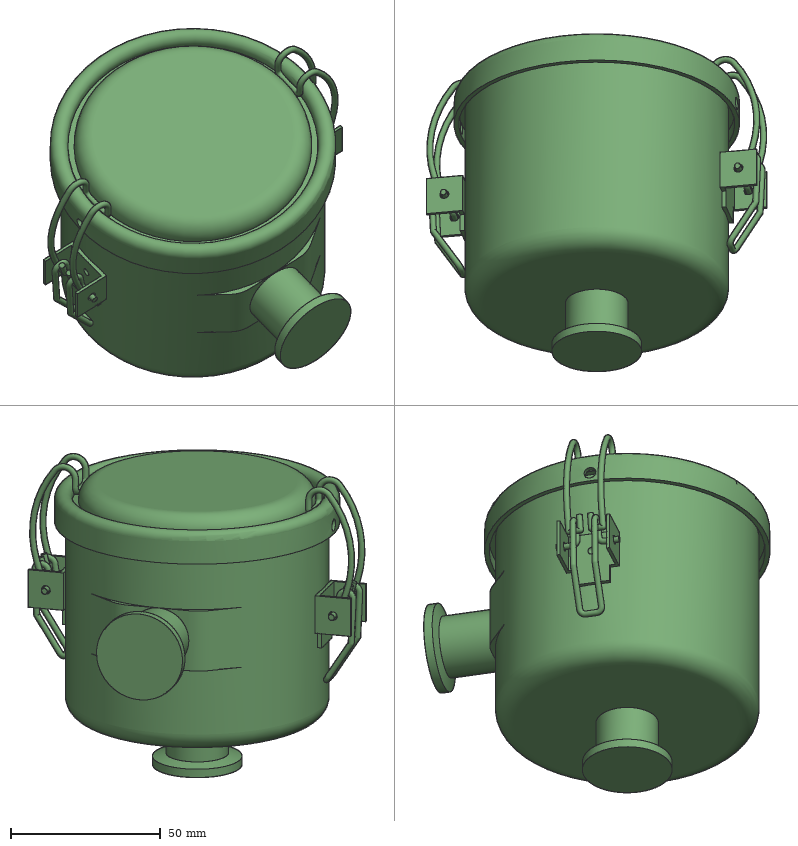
import cadquery as cq
import math

length = 113.9
latch_span = 113.2
height = 102.7

body_radius = 88.0 / 2
body_bottom = 18.0
body_corner_radius = 6.2

lid_radius = 95.2 / 2
skirt_inner_radius = 92.0 / 2
skirt_bottom = 84.9
skirt_gap_top = 89.4
rim_roll_radius = 3.0
rim_top = 95.8
rim_spring = rim_top - rim_roll_radius
groove_floor = 92.0
dome_top = 98.8
dome_edge_radius = 6.0
dome_flat_radius = 33.6
dome_radius = dome_flat_radius + dome_edge_radius
dome_spring = dome_top - dome_edge_radius
skirt_hole_diameter = 4.0
skirt_hole_height = 87.9

pipe_radius = 21.0 / 2
flange_radius = 30.0 / 2
flange_rim_thickness = 3.0
flange_taper_thickness = 1.1
side_port_end = length - lid_radius
side_port_height = 57.4

pad_face = 44.2
pad_tangent_x = 35.5
pad_edge_radius = 11.0

bracket_half_width = 9.1
bracket_sheet = 1.0
bracket_bottom = 52.5
bracket_top = 65.6
bracket_reach = 56.2
bracket_face = 45.2
bracket_embed = 0.2
bracket_back = body_radius - bracket_embed
tab_half_width = 6.0
tab_bottom = 46.6
pivot_hole_diameter = 3.0
pivot_reach = 50.0
pivot_height = 59.1
dimple_radius = 2.6 / 2

wire_radius = 2.0 / 2
hook_half_width = 5.9
hook_bar_reach = 40.7
hook_bar_sink = 0.2
hook_bar_height = groove_floor + wire_radius - hook_bar_sink
hook_corner_radius = 2.0
hook_crown_radius = 4.0
hook_crown_height = height - wire_radius - hook_crown_radius
hook_bow_reach = latch_span / 2 - wire_radius
hook_bow_height = 78.0
hook_bow_end_height = 67.9
hook_foot_height = 63.1
hook_tip_half_width = 1.9
hook_tip_reach = 54.0
hook_tip_height = 68.1

handle_half_width = 3.8
handle_arch_radius = 2.4
handle_arch_reach = 53.1
handle_arch_height = 64.0
handle_bend_reach = 54.8
handle_bend_height = 48.4
handle_bar_reach = 45.8
handle_bar_height = 34.4
handle_corner_radius = 1.9
pivot_half_length = 10.8


def make_body():
    body_height = skirt_gap_top - body_bottom
    body = cq.Workplane("XY").workplane(offset=body_bottom).circle(body_radius).extrude(body_height)
    return body.faces("<Z").edges().fillet(body_corner_radius)


def make_lid():
    groove_outer_radius = lid_radius - 2 * rim_roll_radius
    dome_mid = dome_edge_radius * math.sqrt(0.5)
    profile = (
        cq.Workplane("XZ")
        .moveTo(0, skirt_gap_top)
        .lineTo(skirt_inner_radius, skirt_gap_top)
        .lineTo(skirt_inner_radius, skirt_bottom)
        .lineTo(lid_radius, skirt_bottom)
        .lineTo(lid_radius, rim_spring)
        .threePointArc((lid_radius - rim_roll_radius, rim_top), (groove_outer_radius, rim_spring))
        .lineTo(groove_outer_radius, groove_floor)
        .lineTo(dome_radius, groove_floor)
        .lineTo(dome_radius, dome_spring)
        .threePointArc(
            (dome_flat_radius + dome_mid, dome_spring + dome_mid),
            (dome_flat_radius, dome_top),
        )
        .lineTo(0, dome_top)
        .close()
    )
    lid = profile.revolve(360, (0, 0, 0), (0, 1, 0))
    skirt_holes = (
        cq.Workplane("XZ")
        .center(0, skirt_hole_height)
        .circle(skirt_hole_diameter / 2)
        .extrude(lid_radius, both=True)
        .cut(cq.Workplane("XY").circle(skirt_inner_radius).extrude(dome_top))
    )
    return lid.cut(skirt_holes)


def make_port(port_length):
    """Port with its flange face at the origin and its pipe running up Z."""
    taper_end = flange_rim_thickness + flange_taper_thickness
    profile = (
        cq.Workplane("XZ")
        .lineTo(flange_radius, 0)
        .lineTo(flange_radius, flange_rim_thickness)
        .lineTo(pipe_radius, taper_end)
        .lineTo(pipe_radius, port_length)
        .lineTo(0, port_length)
        .close()
    )
    return profile.revolve(360, (0, 0, 0), (0, 1, 0))


def make_side_port():
    port = make_port(side_port_end - body_radius / 2)
    return port.rotate((0, 0, 0), (0, 1, 0), -90).translate((side_port_end, 0, side_port_height))


def make_pad():
    tangent_y = math.sqrt(body_radius**2 - pad_tangent_x**2)
    face_corner_y = (body_radius**2 - pad_face * pad_tangent_x) / tangent_y
    pad = (
        cq.Workplane("XY")
        .workplane(offset=side_port_height - pipe_radius)
        .moveTo(0, -tangent_y)
        .lineTo(pad_tangent_x, -tangent_y)
        .lineTo(pad_face, -face_corner_y)
        .lineTo(pad_face, face_corner_y)
        .lineTo(pad_tangent_x, tangent_y)
        .lineTo(0, tangent_y)
        .close()
        .extrude(2 * pipe_radius)
    )
    return pad.edges("|Z and >X").fillet(pad_edge_radius)


def block(x_range, reach_range, z_range):
    """Box between the given limits, with reach measured along -Y."""
    size = [limits[1] - limits[0] for limits in (x_range, reach_range, z_range)]
    corner = (x_range[0], -reach_range[1], z_range[0])
    return cq.Workplane("XY").box(*size, centered=False).translate(corner)


def make_bracket():
    inner_half_width = bracket_half_width - bracket_sheet
    z_range = (bracket_bottom, bracket_top)
    outer = block((-bracket_half_width, bracket_half_width), (bracket_back, bracket_reach), z_range)
    channel = block((-inner_half_width, inner_half_width), (bracket_face, bracket_reach), z_range)
    tab = block(
        (-tab_half_width, tab_half_width),
        (bracket_back, bracket_face),
        (tab_bottom, bracket_bottom),
    )
    pivot_holes = (
        cq.Workplane("YZ")
        .center(-pivot_reach, pivot_height)
        .circle(pivot_hole_diameter / 2)
        .extrude(bracket_half_width, both=True)
    )
    return outer.cut(channel).cut(pivot_holes).union(tab)


def make_bracket_dimple():
    """Ball that leaves a round dimple through the bracket sheet into the body."""
    return cq.Workplane("XY").sphere(dimple_radius).translate((0, -bracket_face, pivot_height))


def wire_point(x, reach, z):
    return cq.Vector(x, -reach, z)


def rounded_corner(before, corner, after, radius):
    """Start, middle and end of the arc that rounds a square corner."""
    toward_before = (before - corner).normalized() * radius
    toward_after = (after - corner).normalized() * radius
    center = corner + toward_before + toward_after
    middle = center - (toward_before + toward_after).normalized() * radius
    return corner + toward_before, middle, corner + toward_after


def make_wire(runs):
    """Round wire along smooth runs of lines (two points) and arcs (three points).

    A ball fills the sharp turn between one run and the next.
    """
    wire = None
    for run in runs:
        edges = []
        for points in run:
            make_edge = cq.Edge.makeLine if len(points) == 2 else cq.Edge.makeThreePointArc
            edges.append(make_edge(*points))
        path = cq.Wire.assembleEdges(edges)
        start_plane = cq.Plane(origin=run[0][0], normal=edges[0].tangentAt(0))
        piece = cq.Workplane(start_plane).circle(wire_radius).sweep(cq.Workplane(path))
        if wire is None:
            wire = piece
        else:
            ball = cq.Workplane("XY").sphere(wire_radius).translate(run[0][0])
            wire = wire.union(ball).union(piece)
    return wire


def mirrored_pair(half):
    return half.union(half.mirror("YZ"))


def make_hook():
    """Hook wire; each half runs from the middle of the lid bar, over the rim and down to the upturned tip."""
    x = hook_half_width
    crown_reach = hook_bar_reach + hook_crown_radius
    bow_offset = hook_bow_reach - crown_reach
    bow_rise = hook_crown_height - hook_bow_height
    center_gap_squared = bow_offset**2 + bow_rise**2
    bow_radius = (center_gap_squared - hook_crown_radius**2) / (2 * (bow_offset - hook_crown_radius))
    bow_center = hook_bow_reach - bow_radius

    bar_middle = wire_point(0, hook_bar_reach, hook_bar_height)
    bar_corner = wire_point(x, hook_bar_reach, hook_bar_height)
    crown_start = wire_point(x, hook_bar_reach, hook_crown_height)
    crown_middle = wire_point(x, crown_reach, hook_crown_height + hook_crown_radius)
    slope = math.atan2(bow_rise, crown_reach - bow_center)
    bow_start = wire_point(
        x,
        bow_center + bow_radius * math.cos(slope),
        hook_bow_height + bow_radius * math.sin(slope),
    )
    bow_middle = wire_point(x, hook_bow_reach, hook_bow_height)
    bow_drop = hook_bow_height - hook_bow_end_height
    bow_end_offset = math.sqrt(bow_radius**2 - bow_drop**2)
    bow_end = wire_point(x, bow_center + bow_end_offset, hook_bow_end_height)
    foot_inset = (hook_bow_end_height - hook_foot_height) * bow_drop / bow_end_offset
    foot_reach = bow_center + bow_end_offset - foot_inset
    foot_corner = wire_point(x, foot_reach, hook_foot_height)
    tip_corner = wire_point(hook_tip_half_width, foot_reach, hook_foot_height)
    tip = wire_point(hook_tip_half_width, hook_tip_reach, hook_tip_height)

    corner = rounded_corner(bar_middle, bar_corner, crown_start, hook_corner_radius)
    half = make_wire(
        [
            [
                (bar_middle, corner[0]),
                corner,
                (corner[2], crown_start),
                (crown_start, crown_middle, bow_start),
                (bow_start, bow_middle, bow_end),
                (bow_end, foot_corner),
            ],
            [(foot_corner, tip_corner)],
            [(tip_corner, tip)],
        ]
    )
    return mirrored_pair(half)


def make_handle():
    """Handle wire; each half runs from the pivot end, over the arch and down to the grip bar."""
    x = handle_half_width
    arch_start_reach = handle_arch_reach - handle_arch_radius
    arch_end_reach = handle_arch_reach + handle_arch_radius

    pivot_end = wire_point(pivot_half_length, pivot_reach, pivot_height)
    pivot_corner = wire_point(x, pivot_reach, pivot_height)
    arch_start = wire_point(x, arch_start_reach, handle_arch_height)
    arch_middle = wire_point(x, handle_arch_reach, handle_arch_height + handle_arch_radius)
    arch_end = wire_point(x, arch_end_reach, handle_arch_height)
    bend = wire_point(x, handle_bend_reach, handle_bend_height)
    bar_corner = wire_point(x, handle_bar_reach, handle_bar_height)
    bar_middle = wire_point(0, handle_bar_reach, handle_bar_height)

    pivot_arc = rounded_corner(pivot_end, pivot_corner, arch_start, handle_corner_radius)
    bar_arc = rounded_corner(bend, bar_corner, bar_middle, handle_corner_radius)
    half = make_wire(
        [
            [(pivot_end, pivot_arc[0]), pivot_arc, (pivot_arc[2], arch_start)],
            [(arch_start, arch_middle, arch_end)],
            [(arch_end, bend)],
            [(bend, bar_arc[0]), bar_arc, (bar_arc[2], bar_middle)],
        ]
    )
    return mirrored_pair(half)


vessel = make_body().union(make_lid()).union(make_port(body_bottom + body_corner_radius))
vessel = vessel.union(make_pad()).union(make_side_port())

result = vessel
for part in (make_bracket(), make_hook(), make_handle()):
    result = result.union(part).union(part.mirror("XZ"))
dimple = make_bracket_dimple()
result = result.cut(dimple).cut(dimple.mirror("XZ"))